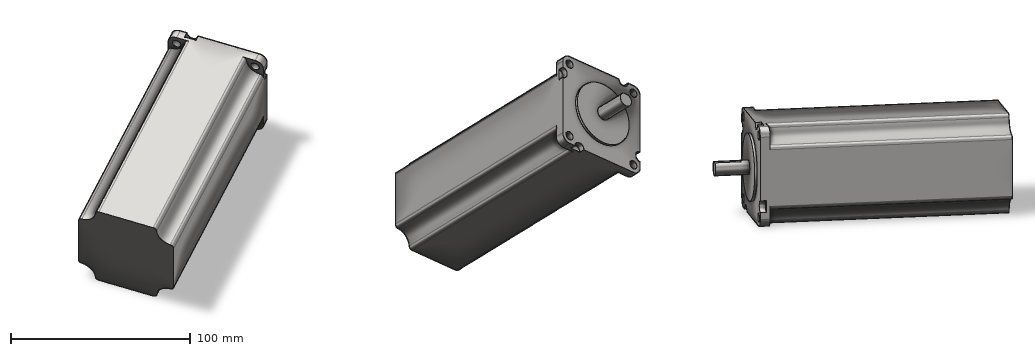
import cadquery as cq
import math

total_length = 164.0
width = 57.0
shaft_length = 19.4
shaft_diameter = 8.2
pilot_height = 1.5
pilot_diameter = 38.2
flange_thickness = 5.5
hole_spacing = 47.0
hole_diameter = 5.1
flange_corner_radius = (width - hole_spacing) / 2
groove_inset = 1.5
groove_radius = 8.7
groove_lip_radius = 2.1
flat_length = 15.0
flat_depth = 0.43
notch_offset = 12.3
notch_radius = 3.3
notch_length = 3.5

half = width / 2
flange_front = total_length - shaft_length - pilot_height
flange_rear = flange_front - flange_thickness


def section_at(y):
    """Workplane facing +Y whose local X is -X and local Y is +Z."""
    return cq.Workplane(cq.Plane(origin=(0, y, 0), xDir=(-1, 0, 0), normal=(0, 1, 0)))


def make_body():
    body = section_at(0).rect(width, width).extrude(flange_rear)
    groove_spacing = width - 2 * groove_inset
    corners = section_at(0).rect(groove_spacing, groove_spacing, forConstruction=True).vertices()
    body = body.cut(corners.circle(groove_radius).extrude(flange_rear))
    reach = half - groove_inset - math.sqrt(groove_radius**2 - groove_inset**2)
    selection_margin = 0.2
    for side in (-1, 1):
        for across in (-1, 1):
            for x, z in ((side * half, across * reach), (side * reach, across * half)):
                near = (x - selection_margin, 0, z - selection_margin)
                far = (x + selection_margin, flange_rear, z + selection_margin)
                lip = body.edges("|Y").edges(cq.selectors.BoxSelector(near, far))
                body = lip.fillet(groove_lip_radius)
    return body


def make_flange():
    flange = section_at(flange_rear).rect(width, width).extrude(flange_thickness)
    flange = flange.edges("|Y").fillet(flange_corner_radius)

    holes = section_at(flange_rear).rect(hole_spacing, hole_spacing, forConstruction=True).vertices()
    flange = flange.cut(holes.circle(hole_diameter / 2).extrude(flange_thickness))

    notch = (
        section_at(flange_front - notch_length)
        .center(half - notch_offset, half)
        .circle(notch_radius)
        .extrude(notch_length)
    )
    for turn in range(4):
        flange = flange.cut(notch.rotate((0, 0, 0), (0, 1, 0), 90 * turn))
    return flange


def make_shaft():
    radius = shaft_diameter / 2
    shaft = section_at(flange_front).circle(radius).extrude(pilot_height + shaft_length)
    flat_cutter = (
        section_at(total_length - flat_length)
        .center(0, radius)
        .rect(shaft_diameter, 2 * flat_depth)
        .extrude(flat_length)
    )
    return shaft.cut(flat_cutter)


pilot = section_at(flange_front).circle(pilot_diameter / 2).extrude(pilot_height)
result = make_body().union(make_flange()).union(pilot).union(make_shaft())